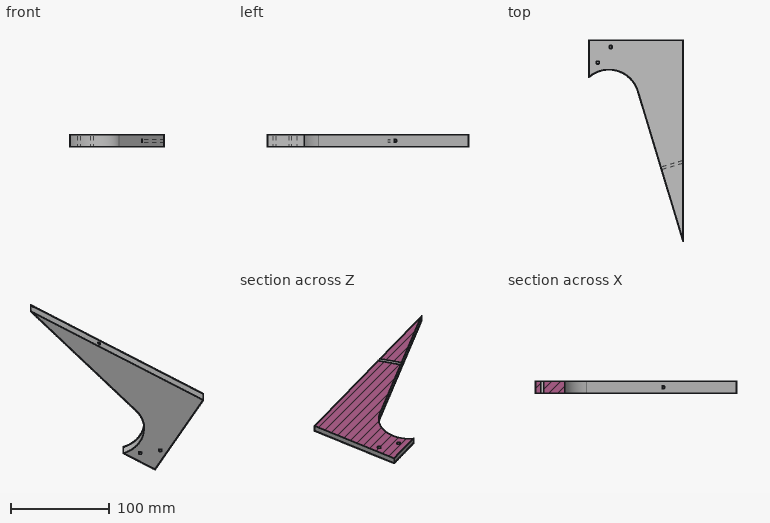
import cadquery as cq
import math

width = 95.2
length = 203.5
thickness = 12.6

hollow_x = 20.1
hollow_y = -60.5
hollow_radius = 30.5

plate_hole_diameter = 2.8
plate_hole_centers = [(22.2, -7.0), (9.0, -22.8)]
edge_hole_diameter = 2.6
edge_hole_y = -129.4

tip_x = width
tip_y = -length
tip_distance = math.hypot(tip_x - hollow_x, tip_y - hollow_y)
tip_direction = math.atan2(tip_y - hollow_y, tip_x - hollow_x)
normal_angle = tip_direction + math.acos(hollow_radius / tip_distance)
tangent_x = hollow_x + hollow_radius * math.cos(normal_angle)
tangent_y = hollow_y + hollow_radius * math.sin(normal_angle)
hollow_start_y = hollow_y + math.sqrt(hollow_radius**2 - hollow_x**2)


def make_plate():
    return (
        cq.Workplane("XY")
        .moveTo(0, 0)
        .lineTo(0, hollow_start_y)
        .threePointArc((hollow_x, hollow_y + hollow_radius), (tangent_x, tangent_y))
        .lineTo(tip_x, tip_y)
        .lineTo(width, 0)
        .close()
        .extrude(thickness)
    )


def make_plate_holes():
    return (
        cq.Workplane("XY")
        .pushPoints(plate_hole_centers)
        .circle(plate_hole_diameter / 2)
        .extrude(thickness)
    )


def make_edge_hole():
    """Hole square to the sloping edge at mid thickness, long enough to leave through the +X side."""
    along_edge = (edge_hole_y - tangent_y) / (tip_y - tangent_y)
    entry_x = tangent_x + along_edge * (tip_x - tangent_x)
    entry = cq.Vector(entry_x, edge_hole_y, thickness / 2)
    inward = cq.Vector(math.cos(normal_angle), math.sin(normal_angle), 0)
    return cq.Solid.makeCylinder(edge_hole_diameter / 2, width, entry, inward)


result = make_plate().cut(make_plate_holes()).cut(make_edge_hole())